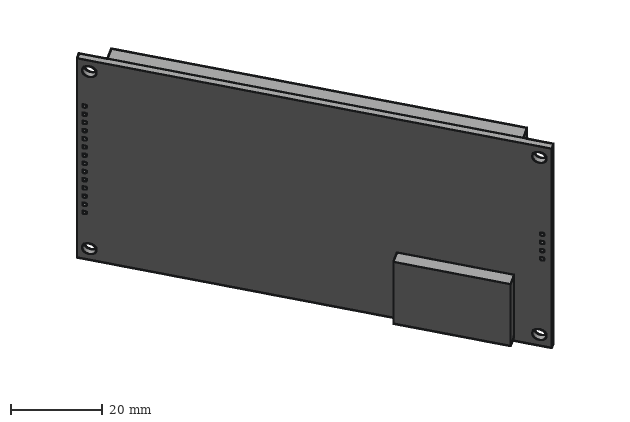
import cadquery as cq

board_length = 108.0
board_height = 61.9
board_thickness = 1.6

overall_depth = 8.7
display_left = 6.3
display_length = 94.6
display_margin = 0.9
display_height = board_height - 2 * display_margin

module_left = 72.8
module_bottom = 1.3
module_length = 26.7
module_height = 19.2
module_depth = 3.0
display_depth = overall_depth - board_thickness - module_depth

mount_diameter = 3.2
mount_inset_x = 2.8
mount_inset_z = 3.5

pin_diameter = 1.0
left_pin_count = 14
left_pin_span = 33.0
pin_pitch = left_pin_span / (left_pin_count - 1)
right_pin_count = 4
left_pin_inset = 1.7
right_pin_inset = 2.2


def block(left, front, bottom, length, depth, height):
    """Box placed by its left, front, bottom corner."""
    box = cq.Workplane("XY").box(length, depth, height, centered=False)
    return box.translate((left, front, bottom))


def board_holes(points, diameter):
    """Cylinders through the board thickness at (x, z) points."""
    pins = cq.Workplane("XZ").pushPoints(points).circle(diameter / 2)
    return pins.extrude(-board_thickness)


def pin_column(x, count):
    """Evenly spaced points centred on the board height."""
    first_z = board_height / 2 - pin_pitch * (count - 1) / 2
    return [(x, first_z + i * pin_pitch) for i in range(count)]


mount_points = [
    (x, z)
    for x in (mount_inset_x, board_length - mount_inset_x)
    for z in (mount_inset_z, board_height - mount_inset_z)
]
pin_points = pin_column(left_pin_inset, left_pin_count)
pin_points += pin_column(board_length - right_pin_inset, right_pin_count)

board = block(0, 0, 0, board_length, board_thickness, board_height)
board = board.cut(board_holes(mount_points, mount_diameter))
board = board.cut(board_holes(pin_points, pin_diameter))

display = block(
    display_left, board_thickness, display_margin, display_length, display_depth, display_height
)
module = block(
    module_left, -module_depth, module_bottom, module_length, module_depth, module_height
)

result = board.union(display).union(module)